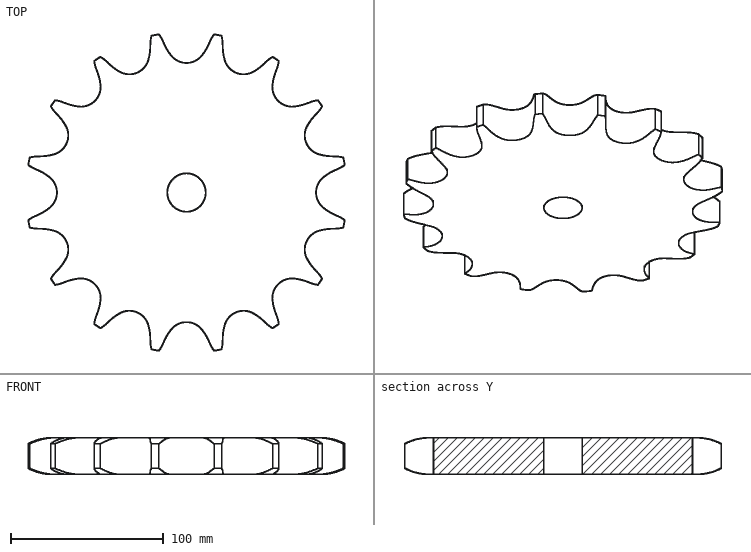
import cadquery as cq
import math

tooth_count = 16
pitch = 38.1
roller_diameter = 25.4
plate_thickness = 24.1
bore_diameter = 25.0
tip_radius = 105.15
relief_start_radius = 88.1
relief_arc_radius = pitch

half_tooth_angle = 180 / tooth_count
pitch_radius = pitch / 2 / math.sin(math.radians(half_tooth_angle))
seating_clearance = 0.038
seating_radius = 1.005 * roller_diameter / 2 + seating_clearance
seating_angle = 35 + 60 / tooth_count
working_angle = 18 - 56 / tooth_count
pressure_angle = 17 - 64 / tooth_count
working_offset = 0.8 * roller_diameter
topping_offset = 1.4 * roller_diameter
working_radius = working_offset + seating_radius
flat_length = (
    topping_offset * math.sin(math.radians(pressure_angle))
    - working_offset * math.sin(math.radians(working_angle))
)


def polar(center, radius, angle):
    """Point at the given radius and angle (degrees) from a center."""
    return (
        center[0] + radius * math.cos(math.radians(angle)),
        center[1] + radius * math.sin(math.radians(angle)),
    )


def direction(start, end):
    """Angle of the line from start to end, in degrees from 0 to 360."""
    return math.degrees(math.atan2(end[1] - start[1], end[0] - start[0])) % 360


def mirrored(point):
    """Mirror image of a point across the gap centerline (the Y axis)."""
    return (-point[0], point[1])


def make_blank():
    """Revolved disc with its bore, whose outer band curves inward on both faces."""
    half_thickness = plate_thickness / 2
    bore_radius = bore_diameter / 2
    relief_width = tip_radius - relief_start_radius
    arc_center = (relief_start_radius, half_thickness - relief_arc_radius)
    end_angle = math.degrees(math.acos(relief_width / relief_arc_radius))
    end_x, end_z = polar(arc_center, relief_arc_radius, end_angle)
    middle_x, middle_z = polar(arc_center, relief_arc_radius, (90 + end_angle) / 2)
    profile = (
        cq.Workplane("XZ")
        .moveTo(bore_radius, half_thickness)
        .lineTo(relief_start_radius, half_thickness)
        .threePointArc((middle_x, middle_z), (end_x, end_z))
        .lineTo(end_x, -end_z)
        .threePointArc((middle_x, -middle_z), (relief_start_radius, -half_thickness))
        .lineTo(bore_radius, -half_thickness)
        .close()
    )
    return profile.revolve(360, (0, 0, 0), (0, 1, 0))


def make_tooth_gap():
    """Cutter for the gap between two teeth, centered on the +Y axis."""
    roller_center = (0, pitch_radius)
    seating_end = polar(roller_center, seating_radius, -seating_angle)
    root = (0, pitch_radius - seating_radius)

    working_center = polar(roller_center, working_offset, 180 - seating_angle)
    flat_normal = working_angle - seating_angle
    working_middle = polar(working_center, working_radius, -seating_angle + working_angle / 2)
    flat_start = polar(working_center, working_radius, flat_normal)
    flat_end = polar(flat_start, flat_length, flat_normal + 90)

    topping_center = polar(roller_center, topping_offset, -half_tooth_angle)
    topping_radius = math.dist(topping_center, flat_end)
    center_distance = math.hypot(*topping_center)
    center_direction = direction((0, 0), topping_center)
    cosine = (tip_radius**2 + center_distance**2 - topping_radius**2) / (2 * tip_radius * center_distance)
    tip = polar((0, 0), tip_radius, center_direction + math.degrees(math.acos(cosine)))
    topping_start_angle = direction(topping_center, flat_end)
    topping_end_angle = direction(topping_center, tip)
    topping_middle = polar(topping_center, topping_radius, (topping_start_angle + topping_end_angle) / 2)

    outside = (tip[0], tip_radius + roller_diameter)
    return (
        cq.Workplane("XY")
        .workplane(offset=-plate_thickness / 2)
        .moveTo(*mirrored(outside))
        .lineTo(*mirrored(tip))
        .threePointArc(mirrored(topping_middle), mirrored(flat_end))
        .lineTo(*mirrored(flat_start))
        .threePointArc(mirrored(working_middle), mirrored(seating_end))
        .threePointArc(root, seating_end)
        .threePointArc(working_middle, flat_start)
        .lineTo(*flat_end)
        .threePointArc(topping_middle, tip)
        .lineTo(*outside)
        .close()
        .extrude(plate_thickness)
    )


def make_sprocket():
    """Bored blank with its tooth gaps cut around the rim."""
    sprocket = make_blank()
    gap = make_tooth_gap()
    for index in range(tooth_count):
        angle = index * 360 / tooth_count
        sprocket = sprocket.cut(gap.rotate((0, 0, 0), (0, 0, 1), angle))
    return sprocket


result = make_sprocket()